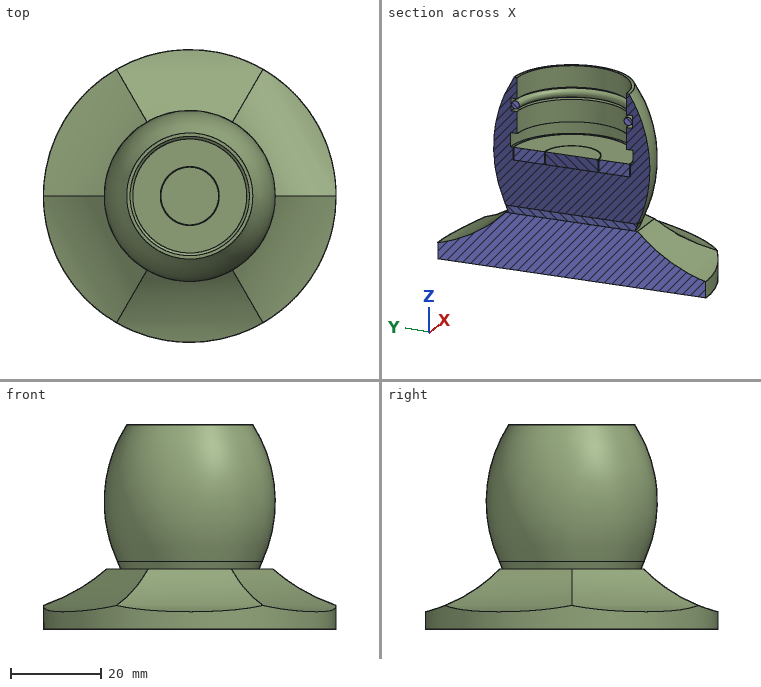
import cadquery as cq
import math

total_height = 45.42

base_radius = 32.5
base_height = 13.4
base_top_apothem = 16.0
rim_height = 3.9
flank_radius = 35.0
flank_count = 6
cutter_margin = 1.0

collar_height = 1.7
collar_bottom_radius = 15.4
bulb_bottom_radius = 16.1

bulb_bottom_z = base_height + collar_height
bulb_top_radius = 14.0
bulb_max_radius = 19.0
bulb_widest_z = 28.4
bore_radius = 13.25
bore_depth = 13.2
chamber_radius = 14.8
floor_depth = 16.45
floor_z = total_height - floor_depth

ring_wire_radius = 1.0
ring_inner_radius = 12.65
groove_top_depth = 5.04
groove_height = 2.89
ring_center_radius = ring_inner_radius + ring_wire_radius
groove_radius = ring_center_radius + ring_wire_radius
groove_bottom_z = total_height - groove_top_depth - groove_height
ring_z = groove_bottom_z + groove_height / 2

disc_pocket_radius = 14.15
disc_clearance = 0.1
disc_radius = disc_pocket_radius - disc_clearance
disc_thickness = 3.0
pin_radius = 6.4
pin_clearance = 0.15
pin_hole_radius = pin_radius + pin_clearance


def cylinder(radius, bottom_z, height):
    return cq.Workplane("XY").workplane(offset=bottom_z).circle(radius).extrude(height)


def arc_midpoint(start, end, radius):
    """Middle of the arc from start to end that bulges to the right of its direction of travel."""
    run = end[0] - start[0]
    rise = end[1] - start[1]
    chord = math.hypot(run, rise)
    sagitta = radius - math.sqrt(radius**2 - (chord / 2) ** 2)
    mid_x = (start[0] + end[0]) / 2 + sagitta * rise / chord
    mid_z = (start[1] + end[1]) / 2 - sagitta * run / chord
    return mid_x, mid_z


def make_base():
    """Disc cut by six identical concave flanks, leaving a hexagonal top with corners on the X axis."""
    top_edge = (base_top_apothem, base_height)
    rim_edge = (base_radius, rim_height)
    dip = arc_midpoint(top_edge, rim_edge, flank_radius)
    flank_cutter = (
        cq.Workplane("YZ")
        .moveTo(*top_edge)
        .threePointArc(dip, rim_edge)
        .lineTo(base_radius + cutter_margin, rim_height)
        .lineTo(base_radius + cutter_margin, base_height + cutter_margin)
        .lineTo(base_top_apothem, base_height + cutter_margin)
        .close()
        .extrude(base_radius, both=True)
    )
    base = cylinder(base_radius, 0, base_height)
    for index in range(flank_count):
        base = base.cut(flank_cutter.rotate((0, 0, 0), (0, 0, 1), index * 360 / flank_count))
    return base


def make_collar():
    """Tapered foot that carries the curve of the bulb down to the base."""
    return (
        cq.Workplane("XZ")
        .moveTo(0, base_height)
        .lineTo(collar_bottom_radius, base_height)
        .lineTo(bulb_bottom_radius, bulb_bottom_z)
        .lineTo(0, bulb_bottom_z)
        .close()
        .revolve(360, (0, 0, 0), (0, 1, 0))
    )


def make_bulb():
    """Barrel with a ring groove in its bore, an undercut chamber and a floor pocket for the disc."""
    body = (
        cq.Workplane("XZ")
        .moveTo(0, bulb_bottom_z)
        .lineTo(bulb_bottom_radius, bulb_bottom_z)
        .threePointArc((bulb_max_radius, bulb_widest_z), (bulb_top_radius, total_height))
        .lineTo(0, total_height)
        .close()
        .revolve(360, (0, 0, 0), (0, 1, 0))
    )
    body = body.cut(cylinder(bore_radius, floor_z, floor_depth))
    body = body.cut(cylinder(chamber_radius, floor_z, floor_depth - bore_depth))
    body = body.cut(cylinder(groove_radius, groove_bottom_z, groove_height))
    return body.cut(cylinder(disc_pocket_radius, floor_z - disc_thickness, disc_thickness))


def make_ring():
    """Round-section ring that bulges slightly into the bore."""
    return (
        cq.Workplane("XZ")
        .moveTo(ring_inner_radius, ring_z)
        .threePointArc((ring_center_radius, ring_z + ring_wire_radius), (groove_radius, ring_z))
        .threePointArc((ring_center_radius, ring_z - ring_wire_radius), (ring_inner_radius, ring_z))
        .close()
        .revolve(360, (0, 0, 0), (0, 1, 0), clean=False)
    )


def make_disc():
    """Flat disc flush with the chamber floor, with a clearance hole for the pin."""
    disc = cylinder(disc_radius, floor_z - disc_thickness, disc_thickness)
    return disc.cut(cylinder(pin_hole_radius, floor_z - disc_thickness, disc_thickness))


def make_pin():
    """Plain round pin standing in the middle of the disc, flush with its top."""
    return cylinder(pin_radius, floor_z - disc_thickness, disc_thickness)


base = make_base()
collar = make_collar()
bulb = make_bulb()
ring = make_ring()
disc = make_disc()
pin = make_pin()

result = cq.Compound.makeCompound(
    [base.val(), collar.val(), bulb.val(), ring.val(), disc.val(), pin.val()]
)